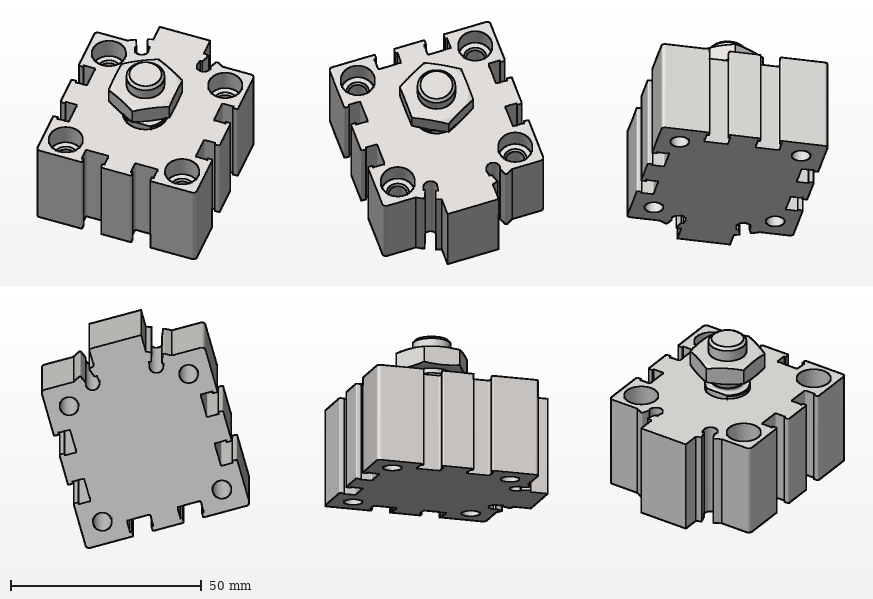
import cadquery as cq
import math

OVERALL_DEPTH = 52.0
HOUSING_SIDE = 44.5
HOUSING_HEIGHT = 26.0
CORNER_RADIUS = 1.0
HALF_SIDE = HOUSING_SIDE / 2

RAIL_HALF_WIDTH = 7.05
RAIL_REACH = OVERALL_DEPTH - HALF_SIDE

GROOVE_RADIUS = 1.85
GROOVE_X = 8.7
GROOVE_Y = 20.6
LIP_FOOT_X = 13.35
LIP_X = 11.3
LIP_Y = 23.4
LIP_TIP_RADIUS = 0.35
LIP_EDGE = (10.35, 21.15)
UNDERCUT_Y = 22.15
HOOK_EDGE_X = 7.7
HOOK_TIP = (8.55, 24.55)
HOOK_ROOT_Y = 25.0

SLOT_OFFSET = 6.85
SLOT_MOUTH_WIDTH = 5.25
SLOT_LIP_DEPTH = 1.35
SLOT_INNER_WIDTH = 6.35
SLOT_DEPTH = 4.5
SLOT_RADIUS = 0.3

HOLE_PITCH = 32.5
HOLE_DIAMETER = 4.95
COUNTERBORE_DIAMETER = 9.0
COUNTERBORE_DEPTH = 6.0
COUNTERSINK_DIAMETER = 6.0
COUNTERSINK_DEPTH = (COUNTERSINK_DIAMETER - HOLE_DIAMETER) / 2

ROD_DIAMETER = 10.0
ROD_HEIGHT = 15.0
ROD_TIP_CHAMFER = 0.8
SHOULDER_HEIGHT = 4.75
TAPER_END_DIAMETER = 8.6
TAPER_END_HEIGHT = 2.3
TAPER_HOLLOW = 0.05
NECK_DIAMETER = 8.2
NECK_TOP_HEIGHT = 2.15
NECK_FILLET = 0.55
COLLAR_DIAMETER = 12.0
COLLAR_HEIGHT = 1.0
COLLAR_CHAMFER = 0.2
COLLAR_ACROSS_FLATS = 10.0
ROD_SEAT_DEPTH = 5.0

NUT_ACROSS_FLATS = 17.0
NUT_THICKNESS = 5.0
NUT_BASE_HEIGHT = 6.05
NUT_FACE_DIAMETER = 16.75
NUT_CORNER_DROP = 0.4


def housing_half():
    """The -X half of the housing profile, with its groove, lip and half of the rail."""
    return (
        cq.Workplane("XY")
        .moveTo(0, -HALF_SIDE)
        .lineTo(-HALF_SIDE, -HALF_SIDE)
        .lineTo(-HALF_SIDE, HALF_SIDE)
        .lineTo(-LIP_FOOT_X, HALF_SIDE)
        .lineTo(-LIP_X, LIP_Y)
        .lineTo(-LIP_EDGE[0], LIP_EDGE[1])
        .lineTo(-GROOVE_X - GROOVE_RADIUS, GROOVE_Y)
        .threePointArc(
            (-GROOVE_X, GROOVE_Y - GROOVE_RADIUS),
            (-GROOVE_X + GROOVE_RADIUS, GROOVE_Y),
        )
        .lineTo(-RAIL_HALF_WIDTH, UNDERCUT_Y)
        .lineTo(-HOOK_EDGE_X, UNDERCUT_Y)
        .lineTo(-HOOK_TIP[0], HOOK_TIP[1])
        .lineTo(-RAIL_HALF_WIDTH, HOOK_ROOT_Y)
        .lineTo(-RAIL_HALF_WIDTH, RAIL_REACH)
        .lineTo(0, RAIL_REACH)
        .close()
        .extrude(HOUSING_HEIGHT)
    )


def round_upright_edge(body, x, y, radius):
    """Fillet the upright edge of the body that stands at (x, y)."""
    middle = (x, y, HOUSING_HEIGHT / 2)
    return body.edges(cq.selectors.NearestToPointSelector(middle)).fillet(radius)


def t_slot(offset, side_angle):
    """Cutter for one T-slot in the -Y side, turned about Z onto the side it belongs to."""
    mouth = cq.Workplane("XY").box(
        SLOT_MOUTH_WIDTH, SLOT_DEPTH, HOUSING_HEIGHT, centered=(True, False, False)
    )
    inner = (
        cq.Workplane("XY")
        .box(
            SLOT_INNER_WIDTH, SLOT_DEPTH - SLOT_LIP_DEPTH, HOUSING_HEIGHT,
            centered=(True, False, False),
        )
        .edges("|Z and >Y")
        .fillet(SLOT_RADIUS)
        .translate((0, SLOT_LIP_DEPTH, 0))
    )
    return (
        mouth.union(inner)
        .translate((offset, -HALF_SIDE, 0))
        .rotate((0, 0, 0), (0, 0, 1), side_angle)
    )


def make_housing():
    half = housing_half()
    half = round_upright_edge(half, -HALF_SIDE, -HALF_SIDE, CORNER_RADIUS)
    half = round_upright_edge(half, -HALF_SIDE, HALF_SIDE, CORNER_RADIUS)
    half = round_upright_edge(half, -LIP_X, LIP_Y, LIP_TIP_RADIUS)
    body = half.union(half.mirror("YZ"))

    for side_angle in (-90, 0, 90):
        turn = math.radians(side_angle)
        for offset in (-SLOT_OFFSET, SLOT_OFFSET):
            body = body.cut(t_slot(offset, side_angle))
            for edge in (offset - SLOT_MOUTH_WIDTH / 2, offset + SLOT_MOUTH_WIDTH / 2):
                x = edge * math.cos(turn) + HALF_SIDE * math.sin(turn)
                y = edge * math.sin(turn) - HALF_SIDE * math.cos(turn)
                body = round_upright_edge(body, x, y, SLOT_RADIUS)

    counterbore_floor = HOUSING_HEIGHT - COUNTERBORE_DEPTH
    mounting_hole = (
        cq.Workplane("XZ")
        .polyline([
            (0, 0),
            (HOLE_DIAMETER / 2, 0),
            (HOLE_DIAMETER / 2, counterbore_floor - COUNTERSINK_DEPTH),
            (COUNTERSINK_DIAMETER / 2, counterbore_floor),
            (COUNTERBORE_DIAMETER / 2, counterbore_floor),
            (COUNTERBORE_DIAMETER / 2, HOUSING_HEIGHT),
            (0, HOUSING_HEIGHT),
        ])
        .close()
        .revolve()
    )
    for x in (-HOLE_PITCH / 2, HOLE_PITCH / 2):
        for y in (-HOLE_PITCH / 2, HOLE_PITCH / 2):
            body = body.cut(mounting_hole.translate((x, y, 0)))

    rod_seat = (
        cq.Workplane("XY", origin=(0, 0, HOUSING_HEIGHT - ROD_SEAT_DEPTH))
        .circle(COLLAR_DIAMETER / 2)
        .extrude(ROD_SEAT_DEPTH)
    )
    return body.cut(rod_seat)


def make_rod():
    taper_middle = (
        (ROD_DIAMETER + TAPER_END_DIAMETER) / 4 - TAPER_HOLLOW,
        (SHOULDER_HEIGHT + TAPER_END_HEIGHT) / 2,
    )
    shank = (
        cq.Workplane("XZ", origin=(0, 0, HOUSING_HEIGHT))
        .moveTo(0, COLLAR_HEIGHT)
        .lineTo(NECK_DIAMETER / 2 + NECK_FILLET, COLLAR_HEIGHT)
        .radiusArc((NECK_DIAMETER / 2, COLLAR_HEIGHT + NECK_FILLET), NECK_FILLET)
        .lineTo(NECK_DIAMETER / 2, NECK_TOP_HEIGHT)
        .lineTo(TAPER_END_DIAMETER / 2, NECK_TOP_HEIGHT)
        .lineTo(TAPER_END_DIAMETER / 2, TAPER_END_HEIGHT)
        .threePointArc(taper_middle, (ROD_DIAMETER / 2, SHOULDER_HEIGHT))
        .lineTo(ROD_DIAMETER / 2, ROD_HEIGHT - ROD_TIP_CHAMFER)
        .lineTo(ROD_DIAMETER / 2 - ROD_TIP_CHAMFER, ROD_HEIGHT)
        .lineTo(0, ROD_HEIGHT)
        .close()
        .revolve()
    )
    collar_length = ROD_SEAT_DEPTH + COLLAR_HEIGHT
    collar_base = HOUSING_HEIGHT - ROD_SEAT_DEPTH
    flats = cq.Workplane("XY", origin=(0, 0, collar_base)).box(
        COLLAR_DIAMETER, COLLAR_ACROSS_FLATS, collar_length, centered=(True, True, False)
    )
    collar = (
        cq.Workplane("XY", origin=(0, 0, collar_base))
        .circle(COLLAR_DIAMETER / 2)
        .extrude(collar_length)
        .faces(">Z")
        .chamfer(COLLAR_CHAMFER)
        .intersect(flats)
    )
    return collar.union(shank)


def make_nut():
    corner_radius = NUT_ACROSS_FLATS / math.sqrt(3)
    face_radius = NUT_FACE_DIAMETER / 2
    nut_base = HOUSING_HEIGHT + NUT_BASE_HEIGHT
    hexagon = (
        cq.Workplane("XY", origin=(0, 0, nut_base))
        .polygon(6, 2 * corner_radius)
        .extrude(NUT_THICKNESS)
        .rotate((0, 0, 0), (0, 0, 1), 90)
    )
    envelope = (
        cq.Workplane("XZ", origin=(0, 0, nut_base))
        .polyline([
            (0, 0),
            (face_radius, 0),
            (corner_radius, NUT_CORNER_DROP),
            (corner_radius, NUT_THICKNESS - NUT_CORNER_DROP),
            (face_radius, NUT_THICKNESS),
            (0, NUT_THICKNESS),
        ])
        .close()
        .revolve()
    )
    bore = (
        cq.Workplane("XY", origin=(0, 0, nut_base))
        .circle(ROD_DIAMETER / 2)
        .extrude(NUT_THICKNESS)
    )
    return hexagon.intersect(envelope).cut(bore)


housing = make_housing()
rod = make_rod()
nut = make_nut()

result = cq.Compound.makeCompound([housing.val(), rod.val(), nut.val()])